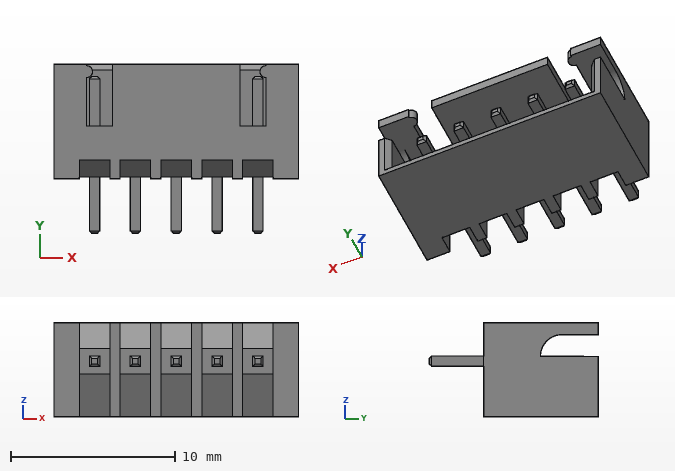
import cadquery as cq


housing_length = 14.9
housing_depth = 6.99
housing_height = 5.75
wall = 0.75
cavity_depth = 3.75
lead_in = 0.35

pin_count = 5
pin_pitch = 2.49
pin_size = 0.64
pin_tip_chamfer = 0.15
pin_below_top = 2.35
tail_length = 3.31
pin_inset_from_mouth = 0.75

slot_outer_x = 5.45
slot_width = 1.56
bump_radius = 0.36
bump_from_mouth = 0.45

notch_height = 1.31
notch_depth = 3.52

recess_width = 1.86
recess_land_depth = 0.1
recess_edge_depth = 1.15
recess_land_height = 1.56

cavity_floor_y = housing_depth - cavity_depth
cavity_half_length = housing_length / 2 - wall
cavity_top_z = housing_height - wall
pin_z = housing_height - pin_below_top
pin_positions = [(i - (pin_count - 1) / 2) * pin_pitch for i in range(pin_count)]


def box_between(x_range, y_range, z_range):
    """Box spanning the given low and high limits along each axis."""
    lows, highs = zip(x_range, y_range, z_range)
    sizes = [high - low for low, high in zip(lows, highs)]
    return cq.Workplane("XY").box(*sizes, centered=False).translate(lows)


def make_cavity():
    """Mating cavity, widened at the mouth along its floor and both ends."""
    cavity = box_between(
        (-cavity_half_length, cavity_half_length), (cavity_floor_y, housing_depth), (wall, cavity_top_z)
    )
    flare_half_length = cavity_half_length + lead_in
    mouth_profile = [
        (-cavity_half_length, housing_depth - lead_in),
        (-flare_half_length, housing_depth),
        (flare_half_length, housing_depth),
        (cavity_half_length, housing_depth - lead_in),
    ]
    end_flare = cq.Workplane("XY").workplane(offset=wall - lead_in).polyline(mouth_profile).close()
    end_flare = end_flare.extrude(cavity_top_z - wall + lead_in)
    floor_profile = [
        (housing_depth - lead_in, wall),
        (housing_depth, wall - lead_in),
        (housing_depth, cavity_top_z),
        (housing_depth - lead_in, cavity_top_z),
    ]
    floor_flare = cq.Workplane("YZ").polyline(floor_profile).close()
    floor_flare = floor_flare.extrude(flare_half_length, both=True)
    return cavity.union(end_flare.intersect(floor_flare))


def make_latch_slot(side):
    """Slot through the top wall with a half-round latch bump left on its outer side."""
    outer_x = side * slot_outer_x
    inner_x = side * (slot_outer_x - slot_width)
    slot = box_between(
        sorted((inner_x, outer_x)), (cavity_floor_y, housing_depth), (cavity_top_z, housing_height)
    )
    bump = (
        cq.Workplane("XY")
        .workplane(offset=cavity_top_z)
        .center(outer_x, housing_depth - bump_from_mouth)
        .circle(bump_radius)
        .extrude(wall)
    )
    return slot.cut(bump)


def make_end_notches():
    """Notch below the top wall, cut through both end walls, with a quarter-round end."""
    notch_bottom_z = cavity_top_z - notch_height
    notch_end_y = housing_depth - notch_depth
    diagonal = notch_height * 0.5**0.5
    arc_center_y = notch_end_y + notch_height
    return (
        cq.Workplane("YZ")
        .moveTo(housing_depth, notch_bottom_z)
        .lineTo(notch_end_y, notch_bottom_z)
        .threePointArc((arc_center_y - diagonal, notch_bottom_z + diagonal), (arc_center_y, cavity_top_z))
        .lineTo(housing_depth, cavity_top_z)
        .close()
        .extrude(housing_length / 2, both=True)
    )


def make_tail_recess(x):
    """Recess with a flat land around the pin, sloping deeper to the top and bottom."""
    land_low_z = pin_z - recess_land_height / 2
    land_high_z = pin_z + recess_land_height / 2
    profile = [
        (0, 0),
        (recess_edge_depth, 0),
        (recess_land_depth, land_low_z),
        (recess_land_depth, land_high_z),
        (recess_edge_depth, housing_height),
        (0, housing_height),
    ]
    recess = cq.Workplane("YZ").polyline(profile).close().extrude(recess_width / 2, both=True)
    return recess.translate((x, 0, 0))


def make_pin(x):
    """Square pin with both tips chamfered."""
    half = pin_size / 2
    pin = box_between(
        (x - half, x + half),
        (-tail_length, housing_depth - pin_inset_from_mouth),
        (pin_z - half, pin_z + half),
    )
    return pin.faces("<Y or >Y").chamfer(pin_tip_chamfer)


half_length = housing_length / 2
result = box_between((-half_length, half_length), (0, housing_depth), (0, housing_height))
result = result.cut(make_cavity()).cut(make_end_notches())

for slot_side in (-1, 1):
    result = result.cut(make_latch_slot(slot_side))

for pin_x in pin_positions:
    result = result.cut(make_tail_recess(pin_x)).union(make_pin(pin_x))